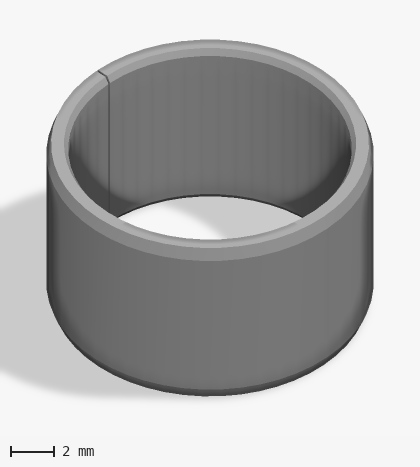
import cadquery as cq
import math

outer_diameter = 15.0
wall = 1.0
height = 9.0

outer_chamfer_height = 0.6
outer_chamfer_angle = 20.0
inner_chamfer_height = 0.32
inner_chamfer_depth = 0.2

split_width = 0.1

outer_radius = outer_diameter / 2
inner_radius = outer_radius - wall
half_height = height / 2
outer_chamfer_depth = outer_chamfer_height * math.tan(math.radians(outer_chamfer_angle))


def make_sleeve():
    """Revolve the chamfered wall section about Z."""
    face_outer_radius = outer_radius - outer_chamfer_depth
    face_inner_radius = inner_radius + inner_chamfer_depth
    outer_edge_z = half_height - outer_chamfer_height
    inner_edge_z = half_height - inner_chamfer_height
    section = [
        (outer_radius, -outer_edge_z),
        (outer_radius, outer_edge_z),
        (face_outer_radius, half_height),
        (face_inner_radius, half_height),
        (inner_radius, inner_edge_z),
        (inner_radius, -inner_edge_z),
        (face_inner_radius, -half_height),
        (face_outer_radius, -half_height),
    ]
    return cq.Workplane("XZ").polyline(section).close().revolve(360, (0, 0, 0), (0, 1, 0))


def make_split():
    """Thin slab reaching from the axis out past the -X side of the wall."""
    slab = cq.Workplane("XY").box(outer_radius + wall, split_width, height, centered=(False, False, True))
    return slab.translate((-outer_radius - wall, 0, 0))


result = make_sleeve().cut(make_split())